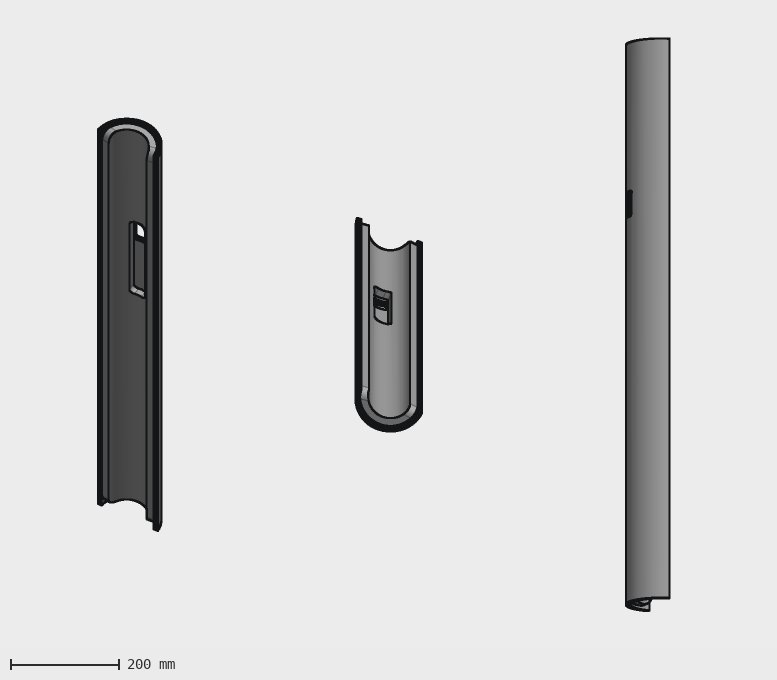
import cadquery as cq
import math

length = 1048.0
width = 129.0

core_end_angle = math.radians(5.6)
skin_end_angle = math.radians(3.9)
outer_radius = width / 2 / math.cos(skin_end_angle)

skin_thickness = 2.9
skin_count = 3
core_outer_radius = outer_radius - skin_count * skin_thickness
core_inner_radius = 41.0

core_bottom_gap = 6.0
core_top_gap = 3.0
core_end_round = 19.0

slot_width = 34.0
slot_bottom = 587.0
slot_top = 788.0
slot_corner_radius = 9.0
window_bottom = 722.0
window_top = 769.0
window_corner_radius = 5.0


def radial_point(radius, angle):
    """Point at the given radius and angle from the X axis."""
    return (radius * math.cos(angle), radius * math.sin(angle))


def half_shell(radius_out, radius_in, end_angle, bottom, top):
    """Slightly less than half a ring, between the radial end faces, from bottom to top."""
    right = end_angle
    left = math.pi - end_angle
    return (
        cq.Workplane("XY", origin=(0, 0, bottom))
        .moveTo(*radial_point(radius_out, left))
        .threePointArc((0, radius_out), radial_point(radius_out, right))
        .lineTo(*radial_point(radius_in, right))
        .threePointArc((0, radius_in), radial_point(radius_in, left))
        .close()
        .extrude(top - bottom)
    )


def opening_cutter(bottom, top, corner_radius):
    """Rounded block that cuts an opening of slot width through the back of a shell."""
    return (
        cq.Workplane("XY", origin=(0, 0, bottom))
        .rect(slot_width, 2 * outer_radius + 10)
        .extrude(top - bottom)
        .edges("|Y")
        .fillet(corner_radius)
    )


def make_skin(index):
    """Thin shell; index 0 is the outermost."""
    radius_out = outer_radius - index * skin_thickness
    skin = half_shell(radius_out, radius_out - skin_thickness, skin_end_angle, 0, length)
    return skin.cut(opening_cutter(window_bottom, window_top, window_corner_radius))


def make_core():
    """Thick inner shell with rounded front ends and a long slot."""
    core_top = length - core_top_gap
    core = half_shell(core_outer_radius, core_inner_radius, core_end_angle, core_bottom_gap, core_top)
    core = core.edges("%LINE and (not |Z)").fillet(core_end_round)
    return core.cut(opening_cutter(slot_bottom, slot_top, slot_corner_radius))


skins = [make_skin(index) for index in range(skin_count)]
core = make_core()

result = cq.Compound.makeCompound([core.val(), *[skin.val() for skin in skins]])